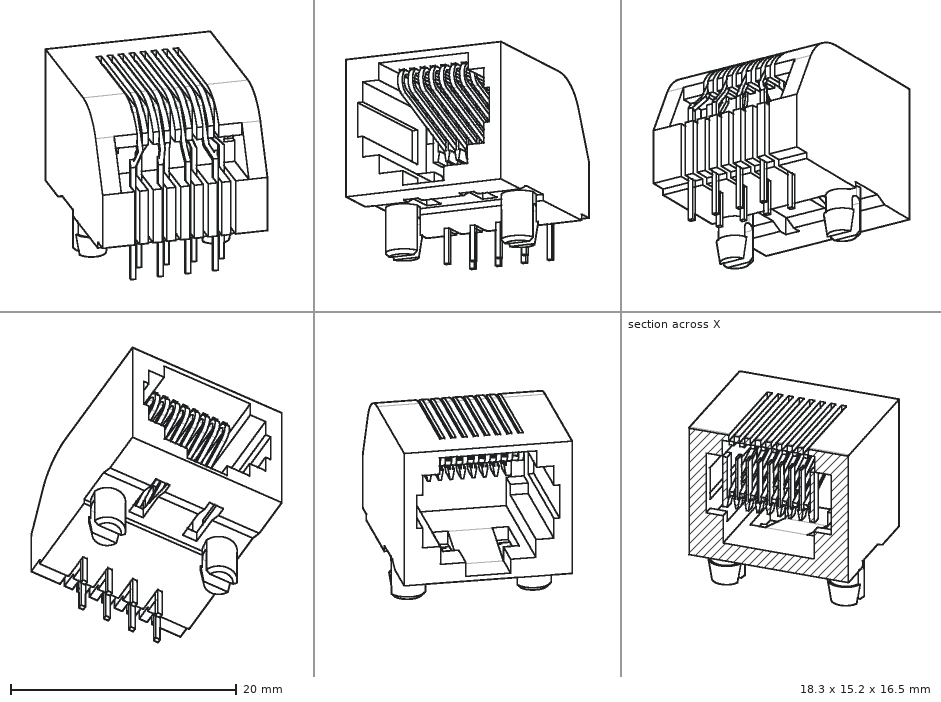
import cadquery as cq
import math


length = 18.26
width = 15.25
height = 12.58
roof_flat_end = 12.0
hood_end = 16.0
rear_edge_height = 5.66
rear_slope = math.radians(63.6)

foot_height = 0.57
relief_ramp_start = 4.05
relief_start = 5.22
relief_end = 8.73
rear_foot_end = 16.7

cavity_depth = 13.15
cavity_half_width = 5.95
cavity_ceiling = 10.35
ledge_height = 3.49
ledge_inner_y = 4.33
floor_height = 1.79
side_groove_depth = 0.51
side_groove_bottom = 5.37
side_groove_top = 8.51
roof_recess_half_width = 4.4
roof_recess_top = 11.9

latch_half_width = 2.03
latch_floor = 0.47
latch_ramp_start = 3.15
latch_ramp_end = 7.98
floor_opening_outer_y = 3.45

comb_depth = 1.83
comb_front = cavity_depth - comb_depth
comb_slot_width = 0.79
comb_slot_floor = 6.34
plug_stop_height = 4.5

pocket_start = 13.79
pocket_half_width = 5.9
hood_bottom = 9.05
base_top = rear_edge_height

window_inner_y = 4.9
window_bottom = 7.63

post_x = 7.98
post_y = 5.7
post_bottom = -3.93
front_leg_radius = 1.65
front_leg_chamfer = 0.37
rear_leg_radius = 1.46
barb_top = -1.94
barb_radius = front_leg_radius
barb_end_radius = 1.33
post_slot_width = 1.0
post_slot_top = -0.42
post_flat_start = 7.43

contact_count = 8
contact_width = 0.45
contact_thickness = 0.4
contact_span = 7.1
pin_span = 8.9
contact_top = 12.0
slot_front = 3.01
front_bend_x = 3.78
front_bend_radius = 1.13
spring_angle = math.radians(20)
rear_bend_x = pocket_start
rear_bend_radius = 0.75
sloped_drop = math.radians(57)
upright_drop = math.radians(90)
front_pin_x = rear_bend_x + rear_bend_radius - contact_thickness
rear_pin_x = rear_foot_end
pin_bottom = -3.21
front_jog_top = 8.58
front_jog_height = 0.91
rear_jog_x = 16.36

contact_pitch = contact_span / (contact_count - 1)
pin_pitch = pin_span / (contact_count - 1)
CLEAR = 0.18


def block(x0, x1, y0, y1, z0, z1):
    """Box between two corners."""
    return cq.Workplane("XY").box(x1 - x0, y1 - y0, z1 - z0, centered=False).translate((x0, y0, z0))


def middle_block(x0, x1, half_width, z0, z1):
    """Box centred on the middle plane."""
    return block(x0, x1, -half_width, half_width, z0, z1)


def both_sides(shape):
    """A shape together with its mirror image across the middle plane."""
    return shape.union(shape.mirror("XZ"))


def side_prism(outline, y0, y1):
    """Closed XZ outline extruded from y0 to y1."""
    return outline.close().extrude(y0 - y1).translate((0, y0, 0))


def place_along(index, pitch):
    """Y place of a contact or pin; index 0 is on the +Y side."""
    return ((contact_count - 1) / 2 - index) * pitch


def in_front_row(index):
    return index % 2 == 0



def make_shell():
    """Solid outer shape of the housing."""
    slope_top = rear_edge_height + (length - hood_end) * math.tan(rear_slope)
    curve_width = hood_end - roof_flat_end
    curve_drop = height - slope_top
    curve_radius = (curve_width**2 + curve_drop**2) / (2 * curve_drop)
    half_turn = math.atan(curve_drop / curve_width)
    curve_middle = (
        roof_flat_end + curve_radius * math.sin(half_turn),
        height - curve_radius * (1 - math.cos(half_turn)),
    )
    outline = (
        cq.Workplane("XZ")
        .moveTo(0, 0)
        .lineTo(0, height)
        .lineTo(roof_flat_end, height)
        .threePointArc(curve_middle, (hood_end, slope_top))
        .lineTo(length, rear_edge_height)
        .lineTo(length, foot_height)
        .lineTo(rear_foot_end, foot_height)
        .lineTo(rear_foot_end, 0)
        .lineTo(relief_end, 0)
        .lineTo(relief_end, foot_height)
        .lineTo(relief_start, foot_height)
        .lineTo(relief_ramp_start, 0)
    )
    return side_prism(outline, -width / 2, width / 2)


def make_cavity():
    """Plug opening with its ledges, side grooves and roof recess."""
    start = -CLEAR
    cavity = middle_block(start, cavity_depth, cavity_half_width, ledge_height, cavity_ceiling)
    cavity = cavity.union(middle_block(start, cavity_depth, ledge_inner_y, floor_height, ledge_height))
    groove_half_width = cavity_half_width + side_groove_depth
    cavity = cavity.union(
        middle_block(start, comb_front, groove_half_width, side_groove_bottom, side_groove_top)
    )
    return cavity.union(
        middle_block(start, cavity_depth, roof_recess_half_width, cavity_ceiling, roof_recess_top)
    )


def make_latch_cut():
    """Groove in the floor, rising as a ramp, with an opening through the floor on each side of the ramp."""
    outline = (
        cq.Workplane("XZ")
        .moveTo(-CLEAR, floor_height)
        .lineTo(-CLEAR, latch_floor)
        .lineTo(latch_ramp_start, latch_floor)
        .lineTo(latch_ramp_end, floor_height)
    )
    groove = side_prism(outline, -latch_half_width, latch_half_width)
    opening = block(
        latch_ramp_start, latch_ramp_end, latch_half_width, floor_opening_outer_y, -CLEAR, floor_height
    )
    return groove.union(both_sides(opening))


def make_comb():
    """Block on the back wall with one guide slot for each contact tip."""
    comb = middle_block(
        comb_front, cavity_depth, roof_recess_half_width, side_groove_bottom, cavity_ceiling
    )
    for index in range(contact_count):
        y = place_along(index, contact_pitch)
        wide = comb_slot_width / 2
        narrow = contact_width / 2
        upper = block(comb_front, cavity_depth, y - wide, y + wide, comb_slot_floor, cavity_ceiling)
        lower = (
            cq.Workplane("YZ", origin=(comb_front, y, 0))
            .moveTo(-narrow, comb_slot_floor)
            .lineTo(narrow, comb_slot_floor)
            .lineTo(wide, side_groove_bottom)
            .lineTo(-wide, side_groove_bottom)
            .close()
            .extrude(comb_depth)
        )
        comb = comb.cut(upper).cut(lower)
    return comb


def make_plug_stops():
    """Steps at the rear of the two ledges."""
    return both_sides(
        block(comb_front, cavity_depth, ledge_inner_y, cavity_half_width, ledge_height, plug_stop_height)
    )


def make_rear_pocket():
    """Space behind the back wall: under the hood, and open above the base behind it."""
    under_hood = middle_block(pocket_start, length + CLEAR, pocket_half_width, base_top, hood_bottom)
    behind_hood = middle_block(hood_end, length + CLEAR, pocket_half_width, base_top, height)
    return under_hood.union(behind_hood)


def make_windows():
    return both_sides(
        block(cavity_depth, pocket_start, window_inner_y, pocket_half_width, window_bottom, hood_bottom)
    )


def make_roof_slot(y):
    """Slot for one contact, over its level run and down through the hood."""
    half = contact_width / 2
    run_bottom = contact_top - contact_thickness
    over_run = block(slot_front, pocket_start, y - half, y + half, run_bottom, height + CLEAR)
    through_hood = block(pocket_start, hood_end, y - half, y + half, hood_bottom, height + CLEAR)
    return over_run.union(through_hood)


def make_base_slot(index):
    """Slot for one pin, open to the rear."""
    y = place_along(index, pin_pitch)
    start = front_pin_x if in_front_row(index) else rear_pin_x
    half = contact_width / 2
    return block(start, length + CLEAR, y - half, y + half, -CLEAR, base_top)


def make_front_leg():
    """Front half of a post at the origin: a chamfered round with a slanted flat on each flank."""
    flat_start_x = post_flat_start - post_x
    flat_start_y = math.sqrt(front_leg_radius**2 - flat_start_x**2)
    plan = (
        cq.Workplane("XY", origin=(0, 0, post_bottom))
        .moveTo(flat_start_x, -flat_start_y)
        .threePointArc((-front_leg_radius, 0), (flat_start_x, flat_start_y))
        .lineTo(0, rear_leg_radius)
        .lineTo(0, -rear_leg_radius)
        .close()
        .extrude(foot_height - post_bottom)
    )
    chamfered_round = (
        cq.Workplane("XY", origin=(0, 0, post_bottom))
        .circle(front_leg_radius)
        .extrude(foot_height - post_bottom)
        .faces("<Z")
        .chamfer(front_leg_chamfer)
    )
    return plan.intersect(chamfered_round)


def make_rear_leg():
    """Rear half of a post at the origin, with a tapered barb round its lower end."""
    return (
        cq.Workplane("XZ")
        .moveTo(0, foot_height)
        .lineTo(rear_leg_radius, foot_height)
        .lineTo(rear_leg_radius, barb_top)
        .lineTo(barb_radius, barb_top)
        .lineTo(barb_end_radius, post_bottom)
        .lineTo(0, post_bottom)
        .close()
        .revolve(360, (0, 0), (0, 1))
    ).intersect(block(0, barb_radius, -barb_radius, barb_radius, post_bottom, foot_height))


def make_post(y):
    """Split board post: two legs with a round-topped slot between them."""
    half_slot = post_slot_width / 2
    spring_line = post_slot_top - half_slot
    slot_outline = (
        cq.Workplane("XZ")
        .moveTo(-half_slot, post_bottom)
        .lineTo(-half_slot, spring_line)
        .threePointArc((0, post_slot_top), (half_slot, spring_line))
        .lineTo(half_slot, post_bottom)
    )
    slot = side_prism(slot_outline, -barb_radius, barb_radius)
    return make_front_leg().union(make_rear_leg()).cut(slot).translate((post_x, y, 0))


def make_housing():
    housing = make_shell().cut(make_cavity()).cut(make_latch_cut())
    housing = housing.union(make_comb()).union(make_plug_stops())
    housing = housing.cut(make_rear_pocket()).cut(make_windows())
    for index in range(contact_count):
        housing = housing.cut(make_roof_slot(place_along(index, contact_pitch)))
        housing = housing.cut(make_base_slot(index))
    for y in (-post_y, post_y):
        housing = housing.union(make_post(y))
    return housing



def polar(center, radius, angle):
    """Point in the XZ plane, with the angle measured from +X towards +Z."""
    return (center[0] + radius * math.cos(angle), center[1] + radius * math.sin(angle))


def make_spring(y, drop_angle):
    """Sprung leg, front bend, level run and rear bend down to the given drop angle."""
    front_center = (front_bend_x, contact_top - front_bend_radius)
    rear_center = (rear_bend_x, contact_top - rear_bend_radius)
    front_inner = front_bend_radius - contact_thickness
    rear_inner = rear_bend_radius - contact_thickness
    up = math.pi / 2
    front_end = 3 * math.pi / 2 - spring_angle
    front_middle = (up + front_end) / 2
    rear_end = up - drop_angle
    rear_middle = up - drop_angle / 2

    leg_start = polar(front_center, front_bend_radius, front_end)
    leg_length = (leg_start[1] - comb_slot_floor) / math.sin(spring_angle)
    tip_lower = polar(leg_start, leg_length, -spring_angle)
    tip_upper = polar(tip_lower, contact_thickness, up - spring_angle)

    outline = (
        cq.Workplane("XZ")
        .moveTo(*tip_lower)
        .lineTo(*leg_start)
        .threePointArc(
            polar(front_center, front_bend_radius, front_middle),
            polar(front_center, front_bend_radius, up),
        )
        .lineTo(*polar(rear_center, rear_bend_radius, up))
        .threePointArc(
            polar(rear_center, rear_bend_radius, rear_middle),
            polar(rear_center, rear_bend_radius, rear_end),
        )
        .lineTo(*polar(rear_center, rear_inner, rear_end))
        .threePointArc(
            polar(rear_center, rear_inner, rear_middle),
            polar(rear_center, rear_inner, up),
        )
        .lineTo(*polar(front_center, front_inner, up))
        .threePointArc(
            polar(front_center, front_inner, front_middle),
            polar(front_center, front_inner, front_end),
        )
        .lineTo(*tip_upper)
    )
    return side_prism(outline, y - contact_width / 2, y + contact_width / 2)


def make_drop(y, pin_y, drop_angle, jog_start, jog_end):
    """Flat strip from the rear bend, jogging sideways from the contact place to the pin place.

    The jog limits are lengths along the strip, which ends where the jog ends.
    """
    rear_center = (rear_bend_x, contact_top - rear_bend_radius)
    start = polar(rear_center, rear_bend_radius, math.pi / 2 - drop_angle)
    plane = cq.Plane(
        origin=(start[0], y, start[1]),
        xDir=(math.cos(drop_angle), 0, -math.sin(drop_angle)),
        normal=(math.sin(drop_angle), 0, math.cos(drop_angle)),
    )
    half = contact_width / 2
    shift = pin_y - y
    return (
        cq.Workplane(plane)
        .moveTo(0, -half)
        .lineTo(jog_start, -half)
        .lineTo(jog_end, shift - half)
        .lineTo(jog_end, shift + half)
        .lineTo(jog_start, half)
        .lineTo(0, half)
        .close()
        .extrude(-contact_thickness)
    )


def make_front_row_contact(y, pin_y):
    """Contact that drops upright under the hood."""
    jog_start = contact_top - rear_bend_radius - front_jog_top
    drop = make_drop(y, pin_y, upright_drop, jog_start, jog_start + front_jog_height)
    half = contact_width / 2
    pin = block(
        front_pin_x,
        front_pin_x + contact_thickness,
        pin_y - half,
        pin_y + half,
        pin_bottom,
        front_jog_top - front_jog_height,
    )
    return make_spring(y, upright_drop).union(drop).union(pin)


def make_rear_row_contact(y, pin_y):
    """Contact that slopes out behind the hood before its pin turns down."""
    rear_center = (rear_bend_x, contact_top - rear_bend_radius)
    start_x, start_z = polar(rear_center, rear_bend_radius, math.pi / 2 - sloped_drop)
    pin_back = rear_pin_x + contact_thickness
    jog_start = (rear_jog_x - start_x) / math.cos(sloped_drop)
    jog_end = (pin_back - start_x) / math.cos(sloped_drop)
    drop = make_drop(y, pin_y, sloped_drop, jog_start, jog_end)

    back_top = start_z - (pin_back - start_x) * math.tan(sloped_drop)
    front_top = back_top + contact_thickness * math.tan(sloped_drop)
    pin_outline = (
        cq.Workplane("XZ")
        .moveTo(rear_pin_x, pin_bottom)
        .lineTo(rear_pin_x, front_top)
        .lineTo(pin_back, back_top)
        .lineTo(pin_back, pin_bottom)
    )
    pin = side_prism(pin_outline, pin_y - contact_width / 2, pin_y + contact_width / 2)
    return make_spring(y, sloped_drop).union(drop).union(pin)


def make_contact(index):
    y = place_along(index, contact_pitch)
    pin_y = place_along(index, pin_pitch)
    if in_front_row(index):
        return make_front_row_contact(y, pin_y)
    return make_rear_row_contact(y, pin_y)



housing = make_housing()
contacts = [make_contact(index) for index in range(contact_count)]
result = cq.Compound.makeCompound([body.solids().val() for body in [housing, *contacts]])